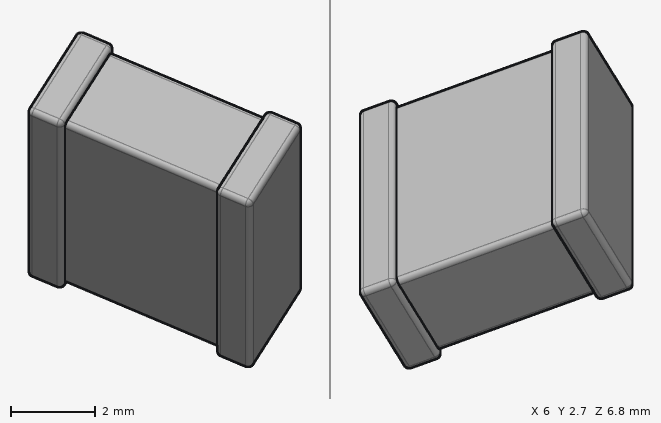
import cadquery as cq

LENGTH = 6.0
DEPTH = 2.7
HEIGHT = 6.8

EDGE_RADIUS = 0.14

TERMINAL_LENGTH = 0.95

BLOCK_STEP = EDGE_RADIUS
BLOCK_LENGTH = LENGTH - 2 * TERMINAL_LENGTH
BLOCK_DEPTH = DEPTH - 2 * BLOCK_STEP
BLOCK_HEIGHT = HEIGHT - 2 * BLOCK_STEP


def make_block():
    """Central block between the terminals, rounded along its four long edges."""
    block = cq.Workplane("XY").box(BLOCK_LENGTH, BLOCK_DEPTH, BLOCK_HEIGHT)
    return block.edges("|X").fillet(EDGE_RADIUS)


def make_terminal(side):
    """Rounded end block whose inner face touches the central block; side is -1 or +1 along X."""
    center_x = side * (LENGTH - TERMINAL_LENGTH) / 2
    terminal = cq.Workplane("XY").box(TERMINAL_LENGTH, DEPTH, HEIGHT).edges().fillet(EDGE_RADIUS)
    return terminal.translate((center_x, 0, 0))


block = make_block()
terminals = [make_terminal(side) for side in (-1, 1)]

result = cq.Compound.makeCompound([block.val(), *[terminal.val() for terminal in terminals]])